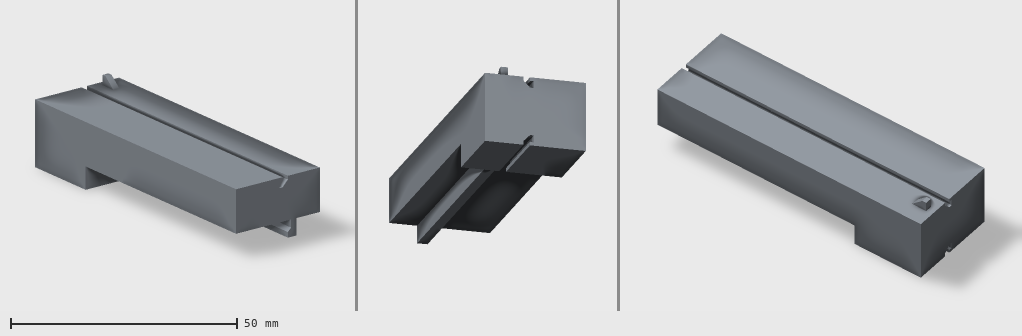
import cadquery as cq

length = 73.2
width = 23.3
total_height = 18.4
tab_height = 2.4
body_height = total_height - tab_height

foot_length = 18.4
step_height = 5.5

groove_inset = 8.85
mouth_width = 1.55
undercut = 0.9
groove_depth = 2.4
lip_depth = 0.9
lip_rise = 0.15
ramp_start_depth = 0.9

neck_width = 1.55
barb_reach = 0.9
rail_bottom = 1.4
barb_top = 2.7
neck_bottom = 3.6

tab_offset = 1.7
tab_length = 3.95
tab_flat = 1.1
tab_inset = 4.2
tab_width = 1.7

start_x = -length / 2
back_y = width / 2
mouth_back = back_y - groove_inset
mouth_front = mouth_back - mouth_width
hook_front = mouth_front - undercut


def extrude_along_x(points, first_x, distance):
    """Extrude a (Y, Z) outline towards +X."""
    plane = cq.Workplane("YZ", origin=(first_x, 0, 0))
    return plane.polyline(points).close().extrude(distance)


def make_body():
    foot_end = start_x + foot_length
    outline = [
        (start_x, 0),
        (foot_end, 0),
        (foot_end, step_height),
        (length / 2, step_height),
        (length / 2, body_height),
        (start_x, body_height),
    ]
    plane = cq.Workplane("XZ", origin=(0, back_y, 0))
    return plane.polyline(outline).close().extrude(width)


def make_groove(surface_z, inward, distance):
    """Groove cutter; inward is +1 to cut upwards and -1 to cut downwards."""
    profile = [
        (mouth_back, 0),
        (mouth_back, ramp_start_depth),
        (mouth_front, groove_depth),
        (hook_front, groove_depth),
        (hook_front, lip_depth - lip_rise),
        (mouth_front, lip_depth),
        (mouth_front, 0),
    ]
    points = [(y, surface_z + inward * depth) for y, depth in profile]
    return extrude_along_x(points, start_x, distance)


def make_rail():
    barb_front = mouth_back
    neck_front = barb_front + barb_reach
    neck_back = neck_front + neck_width
    profile = [
        (neck_back, step_height),
        (neck_back, rail_bottom),
        (barb_front, rail_bottom),
        (barb_front, barb_top),
        (neck_front, neck_bottom),
        (neck_front, step_height),
    ]
    return extrude_along_x(profile, start_x + foot_length, length - foot_length)


def make_tab():
    tab_start = start_x + tab_offset
    outline = [
        (tab_start, body_height),
        (tab_start + tab_length, body_height),
        (tab_start + tab_flat, total_height),
        (tab_start, total_height),
    ]
    plane = cq.Workplane("XZ", origin=(0, back_y - tab_inset, 0))
    return plane.polyline(outline).close().extrude(tab_width)


result = (
    make_body()
    .cut(make_groove(body_height, -1, length))
    .cut(make_groove(0, 1, foot_length))
    .union(make_rail())
    .union(make_tab())
)